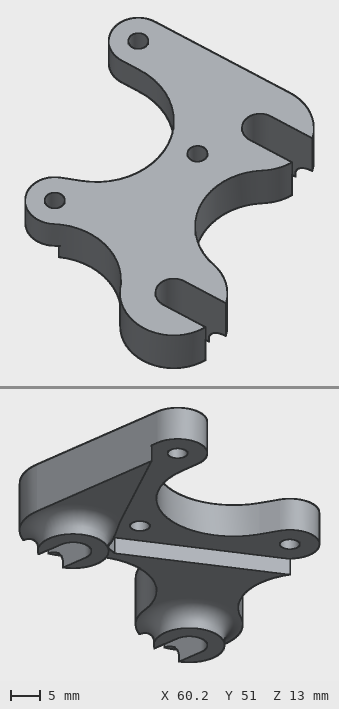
import cadquery as cq
import math

turn_angle = 30.0
bolt_circle_radius = 18.4
bolt_hole_radius = 1.7

ear_radius = 5.0
hub_relief_radius = 13.0
head_radius = 9.05
waist_radius = 12.0
head_x = 26.0
upper_head_y = 9.1
head_spacing = 38.0

slot_width = 6.15
slot_angle = -11.3
slot_length = 2 * head_radius

ear_thickness = 6.0
step_depth = 3.0
boss_height = 4.0
plate_thickness = ear_thickness + step_depth

boss_radius = 5.95
boss_fillet = 3.0

recess_corner_x = 25.35
recess_tip_x = 24.1
recess_back_x = -12.05

upper_ear = (0, bolt_circle_radius)
lower_ear = (0, -bolt_circle_radius)
middle_bolt = (bolt_circle_radius, 0)
hub = (0, 0)
upper_head = (head_x, upper_head_y)
lower_head = (head_x, upper_head_y - head_spacing)


def polar(center, radius, angle):
    """Point at an angle in radians on a circle."""
    return (center[0] + radius * math.cos(angle), center[1] + radius * math.sin(angle))


def direction(start, end):
    return math.atan2(end[1] - start[1], end[0] - start[0])


def toward(start, end, distance):
    return polar(start, distance, direction(start, end))


def middle_of_arc(center, radius, start, end, clockwise):
    """Point halfway along the arc from start to end."""
    start_angle = direction(center, start)
    sweep = (direction(center, end) - start_angle) % (2 * math.pi)
    if clockwise:
        sweep -= 2 * math.pi
    return polar(center, radius, start_angle + sweep / 2)


def waist_center(first, first_radius, second, second_radius):
    """Centre of the waist arc touching two circles, on the right going from first to second."""
    span = math.dist(first, second)
    first_reach = first_radius + waist_radius
    second_reach = second_radius + waist_radius
    cosine = (first_reach**2 + span**2 - second_reach**2) / (2 * first_reach * span)
    return polar(first, first_reach, direction(first, second) - math.acos(cosine))


def make_outline():
    right_waist = waist_center(lower_head, head_radius, upper_head, head_radius)
    lower_waist = waist_center(lower_ear, ear_radius, lower_head, head_radius)

    edge_tilt = math.asin((head_radius - ear_radius) / math.dist(upper_ear, upper_head))
    edge_normal = direction(upper_ear, upper_head) + math.pi / 2 + edge_tilt
    ear_edge = polar(upper_ear, ear_radius, edge_normal)
    head_edge = polar(upper_head, head_radius, edge_normal)

    neck_angle = math.acos((ear_radius + hub_relief_radius) / bolt_circle_radius)
    upper_neck_hub = polar(hub, hub_relief_radius, math.pi / 2 - neck_angle)
    upper_neck_ear = polar(upper_ear, ear_radius, -math.pi / 2 - neck_angle)
    lower_neck_hub = polar(hub, hub_relief_radius, -math.pi / 2 + neck_angle)
    lower_neck_ear = polar(lower_ear, ear_radius, math.pi / 2 + neck_angle)

    upper_head_end = toward(upper_head, right_waist, head_radius)
    lower_head_start = toward(lower_head, right_waist, head_radius)
    lower_head_end = toward(lower_head, lower_waist, head_radius)
    lower_ear_start = toward(lower_ear, lower_waist, ear_radius)

    outline = cq.Workplane("XY").moveTo(*ear_edge).lineTo(*head_edge)

    def add_arc(center, radius, start, end, clockwise):
        return outline.threePointArc(middle_of_arc(center, radius, start, end, clockwise), end)

    outline = add_arc(upper_head, head_radius, head_edge, upper_head_end, True)
    outline = add_arc(right_waist, waist_radius, upper_head_end, lower_head_start, False)
    outline = add_arc(lower_head, head_radius, lower_head_start, lower_head_end, True)
    outline = add_arc(lower_waist, waist_radius, lower_head_end, lower_ear_start, False)
    outline = add_arc(lower_ear, ear_radius, lower_ear_start, lower_neck_ear, True)
    outline = outline.lineTo(*lower_neck_hub)
    outline = add_arc(hub, hub_relief_radius, lower_neck_hub, upper_neck_hub, False)
    outline = outline.lineTo(*upper_neck_ear)
    outline = add_arc(upper_ear, ear_radius, upper_neck_ear, ear_edge, True)
    return outline.close()


def make_boss(center):
    """Round boss under the plate, flaring into it with a concave fillet."""
    flare_radius = boss_radius + boss_fillet
    fillet_bottom = boss_height - boss_fillet
    fillet_middle = polar((flare_radius, fillet_bottom), boss_fillet, math.radians(135))
    overlap_z = boss_height + step_depth / 2
    profile = (
        cq.Workplane("XZ")
        .lineTo(boss_radius, 0)
        .lineTo(boss_radius, fillet_bottom)
        .threePointArc(fillet_middle, (flare_radius, boss_height))
        .lineTo(flare_radius, overlap_z)
        .lineTo(0, overlap_z)
        .close()
    )
    return profile.revolve(360, (0, 0, 0), (0, 1, 0)).translate((*center, 0))


def make_recess():
    """Clears the underside below the ears and hub, trimming the boss flare it meets."""
    tip_half_width = recess_corner_x - recess_tip_x
    back_half_width = recess_corner_x - recess_back_x
    corners = [
        (recess_back_x, back_half_width),
        (recess_tip_x, tip_half_width),
        (recess_tip_x, -tip_half_width),
        (recess_back_x, -back_half_width),
    ]
    return cq.Workplane("XY").polyline(corners).close().extrude(boss_height + step_depth)


def make_slot(center):
    """Round-ended slot running out through the open side of a head."""
    height = boss_height + plate_thickness
    round_end = cq.Workplane("XY").circle(slot_width / 2).extrude(height)
    channel = cq.Workplane("XY").rect(slot_length, slot_width).extrude(height)
    slot = round_end.union(channel.translate((slot_length / 2, 0, 0)))
    return slot.rotate((0, 0, 0), (0, 0, 1), slot_angle).translate((*center, 0))


body = make_outline().extrude(plate_thickness).translate((0, 0, boss_height))
for head in (upper_head, lower_head):
    body = body.union(make_boss(head))
body = body.cut(make_recess())
for head in (upper_head, lower_head):
    body = body.cut(make_slot(head))

bolt_holes = (
    cq.Workplane("XY")
    .pushPoints([upper_ear, middle_bolt, lower_ear])
    .circle(bolt_hole_radius)
    .extrude(boss_height + plate_thickness)
)
result = body.cut(bolt_holes).rotate((0, 0, 0), (0, 0, 1), turn_angle)